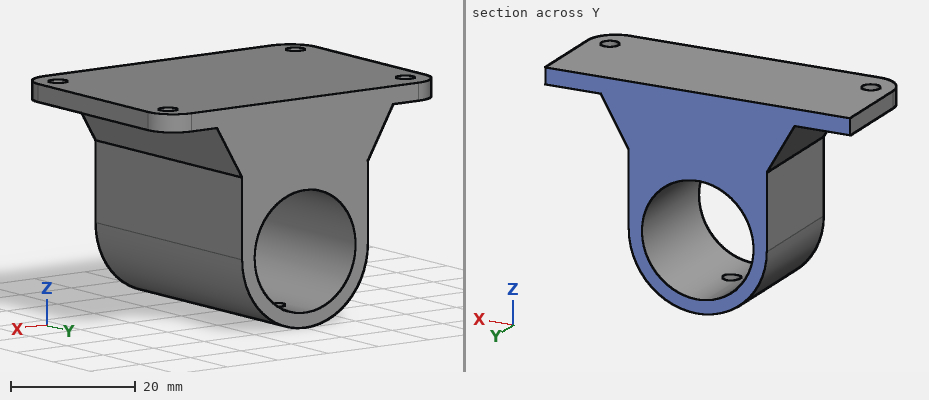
import cadquery as cq

plate_length = 55.0
plate_width = 40.0
plate_thickness = 2.95
corner_radius = 5.0
plate_hole_diameter = 3.0
plate_hole_spacing_x = 47.0
plate_hole_spacing_y = 30.0

total_height = 37.5
holder_radius = 12.5
bore_radius = 10.0
shoulder_half_width = 17.5
shoulder_height = 8.65

screw_hole_diameter = 3.0
screw_hole_spacing = 24.0

plate_top = total_height - holder_radius
plate_bottom = plate_top - plate_thickness
shoulder_bottom = plate_bottom - shoulder_height


def make_plate():
    plate = (
        cq.Workplane("XY", origin=(0, 0, plate_bottom))
        .rect(plate_length, plate_width)
        .extrude(plate_thickness)
        .edges("|Z")
        .fillet(corner_radius)
    )
    return (
        plate.faces(">Z")
        .workplane()
        .rect(plate_hole_spacing_x, plate_hole_spacing_y, forConstruction=True)
        .vertices()
        .hole(plate_hole_diameter)
    )


def make_holder():
    return (
        cq.Workplane("XZ")
        .moveTo(-shoulder_half_width, plate_bottom)
        .lineTo(-holder_radius, shoulder_bottom)
        .lineTo(-holder_radius, 0)
        .threePointArc((0, -holder_radius), (holder_radius, 0))
        .lineTo(holder_radius, shoulder_bottom)
        .lineTo(shoulder_half_width, plate_bottom)
        .close()
        .extrude(plate_width / 2, both=True)
    )


def make_bore():
    return cq.Workplane("XZ").circle(bore_radius).extrude(plate_width / 2, both=True)


def make_screw_holes():
    return (
        cq.Workplane("XY")
        .rarray(0.55, screw_hole_spacing, 1, 2)
        .circle(screw_hole_diameter / 2)
        .extrude(-holder_radius)
    )


result = make_plate().union(make_holder()).cut(make_bore()).cut(make_screw_holes())